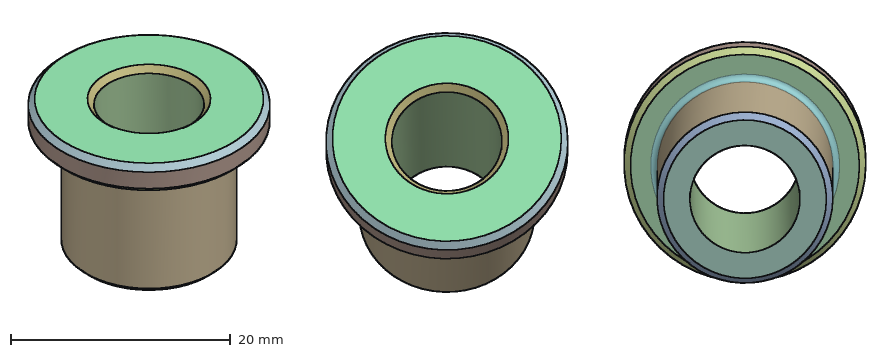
import cadquery as cq

flange_diameter = 22.0
body_diameter = 16.0
bore_diameter = 10.0
total_height = 16.0
flange_thickness = 3.0

chamfer_size = 0.6
neck_fillet_radius = 0.6

flange_bottom = total_height - flange_thickness
smallest_circle = cq.selectors.RadiusNthSelector(0)

flange = (
    cq.Workplane("XY", origin=(0, 0, flange_bottom))
    .circle(flange_diameter / 2)
    .extrude(flange_thickness)
    .faces("<Z or >Z")
    .edges()
    .chamfer(chamfer_size)
)

sleeve = (
    cq.Workplane("XY")
    .circle(body_diameter / 2)
    .extrude(flange_bottom)
    .faces("<Z")
    .edges()
    .chamfer(chamfer_size)
)

flange_underside = cq.selectors.NearestToPointSelector((0, 0, flange_bottom))
bushing = sleeve.union(flange).faces(flange_underside).edges(smallest_circle).fillet(neck_fillet_radius)

bore = cq.Workplane("XY").circle(bore_diameter / 2).extrude(total_height)
result = bushing.cut(bore).faces(">Z").edges(smallest_circle).chamfer(chamfer_size)